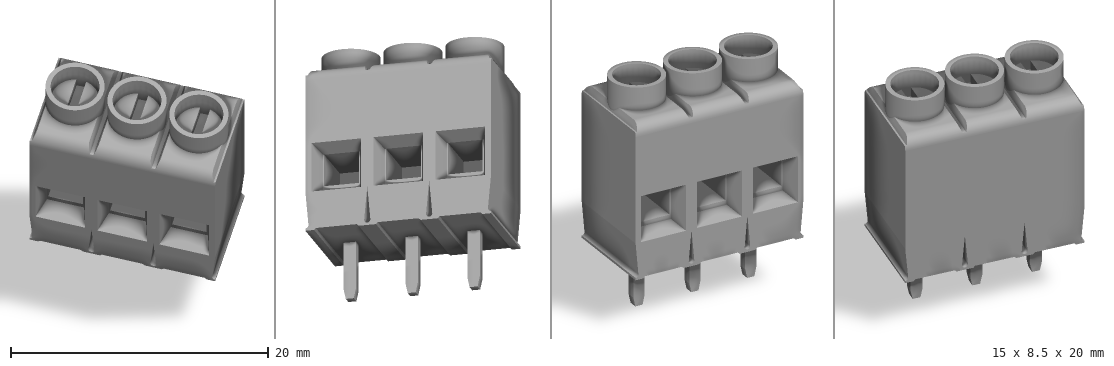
import cadquery as cq


pole_count = 3
pitch = 5.0
length = pole_count * pitch
depth = 8.5
height = 13.45
top_edge_radius = 1.0
front_y = -depth / 2

groove_depth = 0.6
groove_floor_half_width = 0.15
groove_top_half_width = 0.4

slot_radius = 0.25
slot_bottom_z = 0.2
slot_apex_z = 3.2

recess_height = 0.15
foot_half_width = 0.7

entry_bottom_z = 3.2
entry_size = 4.0
funnel_depth = 1.5
throat_size = 3.0
chamber_width = 2.8
chamber_height = 2.6
chamber_depth = 4.5

collar_diameter = 4.6
collar_height = 2.0
collar_bore_diameter = 3.8
screw_diameter = 3.7
screw_recess_depth = 1.6
screw_slot_width = 0.8
screw_slot_depth = 0.8

pin_width = 1.0
pin_thickness = 0.75
pin_length = 4.5
pin_tip_width = 0.65
pin_tip_length = 0.8
pin_embed = 1.0

entry_center_z = entry_bottom_z + entry_size / 2
throat_top_z = entry_center_z + throat_size / 2
collar_top_z = height + collar_height
screw_face_z = collar_top_z - screw_recess_depth
boundary_xs = [i * pitch - length / 2 for i in range(pole_count + 1)]
pole_xs = [x + pitch / 2 for x in boundary_xs[:-1]]


def extrude_through_depth(profile):
    """Extrude an XZ profile over the full depth of the housing."""
    return profile.extrude(depth / 2, both=True)


def make_housing():
    block = cq.Workplane("XY").box(length, depth, height, centered=(True, True, False))
    return block.edges("|X and >Z").fillet(top_edge_radius)


def top_groove(x):
    profile = (
        cq.Workplane("XZ", origin=(x, 0, height))
        .moveTo(-groove_top_half_width, 0)
        .lineTo(-groove_floor_half_width, -groove_depth)
        .lineTo(groove_floor_half_width, -groove_depth)
        .lineTo(groove_top_half_width, 0)
        .close()
    )
    return extrude_through_depth(profile)


def teardrop_slot(x):
    arc_z = slot_bottom_z + slot_radius
    profile = (
        cq.Workplane("XZ", origin=(x, 0, 0))
        .moveTo(0, slot_apex_z)
        .lineTo(-slot_radius, arc_z)
        .threePointArc((0, slot_bottom_z), (slot_radius, arc_z))
        .close()
    )
    return extrude_through_depth(profile)


def underside_recess(x):
    bottom_half = pitch / 2 - foot_half_width
    top_half = bottom_half - recess_height
    profile = (
        cq.Workplane("XZ", origin=(x, 0, 0))
        .moveTo(-bottom_half, 0)
        .lineTo(-top_half, recess_height)
        .lineTo(top_half, recess_height)
        .lineTo(bottom_half, 0)
        .close()
    )
    return extrude_through_depth(profile)


def wire_entry(x):
    funnel = (
        cq.Workplane("XZ", origin=(x, front_y, entry_center_z))
        .rect(entry_size, entry_size)
        .workplane(offset=-funnel_depth)
        .rect(throat_size, throat_size)
        .loft(combine=True)
    )
    chamber = cq.Workplane("XY").box(
        chamber_width, chamber_depth, chamber_height, centered=(True, False, False)
    )
    chamber_origin = (x, front_y + funnel_depth, throat_top_z - chamber_height)
    return funnel.union(chamber.translate(chamber_origin))


def screw_collar(x):
    """Collar reaching down to the groove floors, where it overhangs their sloped walls."""
    base_z = height - groove_depth
    collar = cq.Workplane("XY", origin=(x, 0, base_z)).circle(collar_diameter / 2)
    return collar.extrude(collar_top_z - base_z)


def screw_recess(x):
    """Slightly tapered collar bore down to the slotted screw head."""
    bore = (
        cq.Workplane("XY", origin=(x, 0, collar_top_z))
        .circle(collar_bore_diameter / 2)
        .workplane(offset=-screw_recess_depth)
        .circle(screw_diameter / 2)
        .loft(combine=True)
    )
    slot_blank = cq.Workplane("XY", origin=(x, 0, screw_face_z)).circle(screw_diameter / 2)
    slot = (
        cq.Workplane("XY", origin=(x, 0, screw_face_z))
        .rect(screw_slot_width, screw_diameter)
        .extrude(-screw_slot_depth)
        .intersect(slot_blank.extrude(-screw_slot_depth))
    )
    return bore.union(slot)


def solder_pin(x):
    profile = (
        cq.Workplane("XZ", origin=(x, 0, 0))
        .moveTo(-pin_width / 2, pin_embed)
        .lineTo(-pin_width / 2, pin_tip_length - pin_length)
        .lineTo(-pin_tip_width / 2, -pin_length)
        .lineTo(pin_tip_width / 2, -pin_length)
        .lineTo(pin_width / 2, pin_tip_length - pin_length)
        .lineTo(pin_width / 2, pin_embed)
        .close()
    )
    return profile.extrude(pin_thickness / 2, both=True)


result = make_housing()

for boundary_x in boundary_xs:
    result = result.cut(top_groove(boundary_x))
    result = result.cut(teardrop_slot(boundary_x))

for pole_x in pole_xs:
    result = result.cut(underside_recess(pole_x))
    result = result.cut(wire_entry(pole_x))
    result = result.union(screw_collar(pole_x))
    result = result.cut(screw_recess(pole_x))
    result = result.union(solder_pin(pole_x))